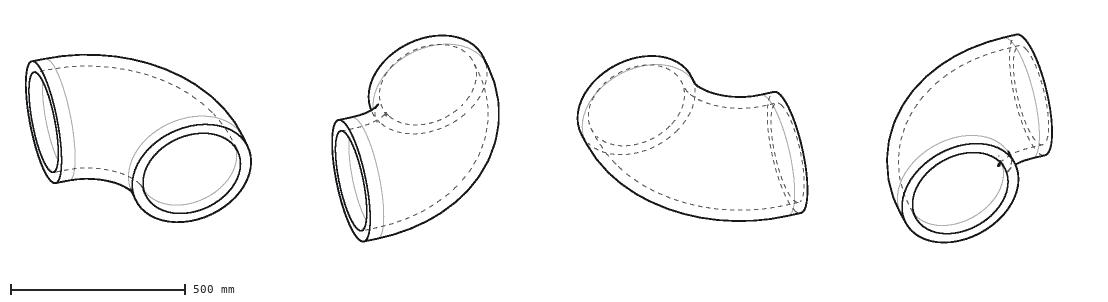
import cadquery as cq

overall_length = 517.5
outer_diameter = 355.5
wall_thickness = 32.0
collar_length = 40.0
bend_angle = 90.0

outer_radius = outer_diameter / 2
inner_radius = outer_radius - wall_thickness
bend_radius = overall_length - outer_radius - collar_length


def pipe_section(plane):
    """Ring-shaped pipe cross-section centred on the plane's origin."""
    return cq.Workplane(plane).circle(outer_radius).circle(inner_radius)


inlet_plane = cq.Plane(origin=(0, 0, 0), xDir=(1, 0, 0), normal=(0, -1, 0))
outlet_plane = cq.Plane(origin=(bend_radius, bend_radius, 0), xDir=(0, 1, 0), normal=(1, 0, 0))

bend = pipe_section(inlet_plane).revolve(bend_angle, (bend_radius, 0, 0), (bend_radius, -1, 0))

inlet_collar = pipe_section(inlet_plane).extrude(collar_length)
outlet_collar = pipe_section(outlet_plane).extrude(collar_length)

result = bend.union(inlet_collar).union(outlet_collar)